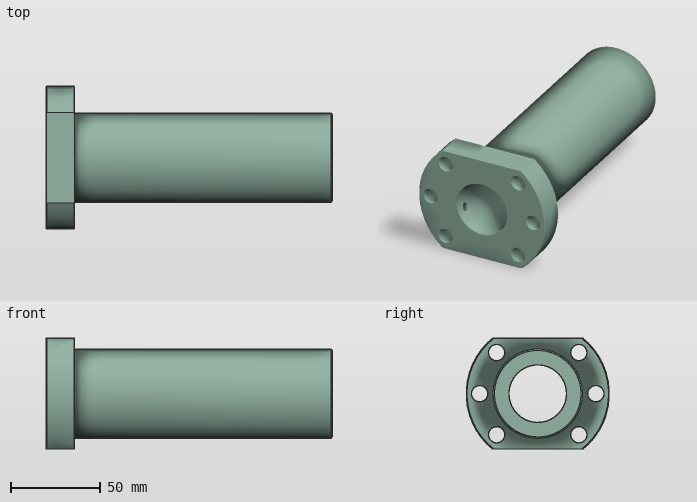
import cadquery as cq
import math

total_length = 160.0
flange_thickness = 16.0
flange_diameter = 80.0
flange_height = 62.0
body_diameter = 50.0
bore_diameter = 32.0

flange_chamfer = 0.5
body_end_chamfer = 0.8

bolt_circle_diameter = 65.0
bolt_hole_diameter = 9.0
bolt_angles = (-45, 0, 45, 135, 180, 225)

oil_hole_diameter = 5.0
oil_hole_angle = -22.5


def make_flange():
    """Chamfered disc, trimmed afterwards by two parallel flats."""
    disc = (
        cq.Workplane("YZ")
        .circle(flange_diameter / 2)
        .extrude(flange_thickness)
        .edges()
        .chamfer(flange_chamfer)
    )
    flats = cq.Workplane("YZ").rect(flange_diameter, flange_height).extrude(flange_thickness)
    return disc.intersect(flats)


def make_body():
    """Full-length cylinder with its free end chamfered."""
    return (
        cq.Workplane("YZ")
        .circle(body_diameter / 2)
        .extrude(total_length)
        .faces(">X")
        .edges()
        .chamfer(body_end_chamfer)
    )


def make_bolt_holes():
    """Cutters for the mounting holes through the flange."""
    bolt_circle_radius = bolt_circle_diameter / 2
    points = [
        (
            bolt_circle_radius * math.cos(math.radians(angle)),
            bolt_circle_radius * math.sin(math.radians(angle)),
        )
        for angle in bolt_angles
    ]
    return (
        cq.Workplane("YZ")
        .pushPoints(points)
        .circle(bolt_hole_diameter / 2)
        .extrude(flange_thickness)
    )


def make_bore():
    """Cutter for the central bore."""
    return cq.Workplane("YZ").circle(bore_diameter / 2).extrude(total_length)


def make_oil_hole():
    """Radial cutter from the axis to the flange rim, in the middle of the flange."""
    return (
        cq.Workplane("XZ", origin=(flange_thickness / 2, 0, 0))
        .circle(oil_hole_diameter / 2)
        .extrude(-flange_diameter / 2)
        .rotate((0, 0, 0), (1, 0, 0), oil_hole_angle)
    )


result = make_flange().union(make_body()).cut(make_bore()).cut(make_bolt_holes()).cut(make_oil_hole())